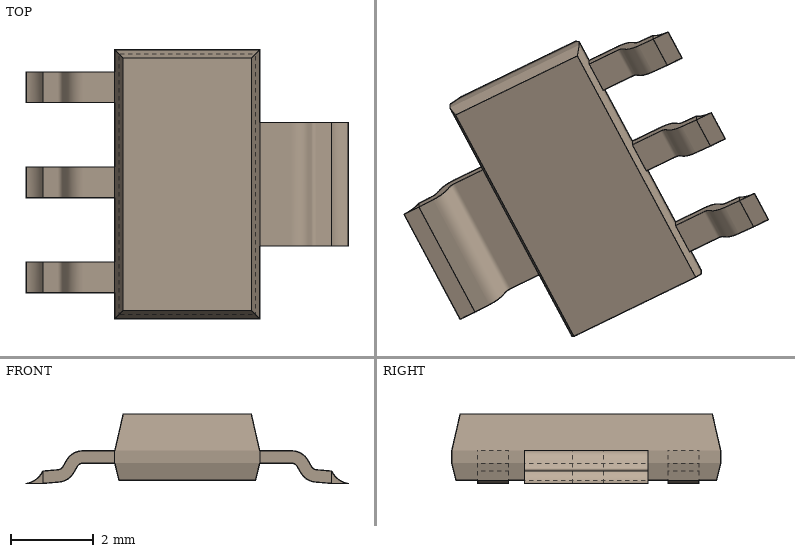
import cadquery as cq
import math

SPAN = 7.78
TOTAL_HEIGHT = 1.68

HOUSING_X = 3.5
HOUSING_Y = 6.5
STANDOFF = 0.08
BAND_BOTTOM = 0.49
TOP_INSET = 0.2
BOTTOM_INSET = 0.1

THICKNESS = 0.3
BAND_TOP = BAND_BOTTOM + THICKNESS
INNER_RADIUS = 0.15
OUTER_RADIUS = INNER_RADIUS + THICKNESS
BEND_ANGLE = math.radians(60)
FOOT_ANGLE = math.radians(5)
BEND_START_X = 2.52

LEAD_COUNT = 3
LEAD_WIDTH = 0.75
LEAD_PITCH = 2.295
LEAD_ROW_Y = 0.05
TAB_WIDTH = 2.99

SOLDER_LENGTH = 0.405
SOLDER_SAG = 0.06
TOE_X = SPAN / 2 - SOLDER_LENGTH
TOE_HEIGHT = THICKNESS / math.cos(FOOT_ANGLE)


def loft_block(z_low, inset_low, z_high, inset_high):
    """Rectangular block whose outline is inset differently at its two ends."""
    return (
        cq.Workplane("XY")
        .workplane(offset=z_low)
        .rect(HOUSING_X - 2 * inset_low, HOUSING_Y - 2 * inset_low)
        .workplane(offset=z_high - z_low)
        .rect(HOUSING_X - 2 * inset_high, HOUSING_Y - 2 * inset_high)
        .loft(ruled=True)
    )


def make_housing():
    lower = loft_block(STANDOFF, BOTTOM_INSET, BAND_BOTTOM, 0)
    band = loft_block(BAND_BOTTOM, 0, BAND_TOP, 0)
    upper = loft_block(BAND_TOP, 0, TOTAL_HEIGHT, TOP_INSET)
    return lower.union(band).union(upper)


def around(center, radius, angle):
    """Point on a circle, with the angle measured from +Z towards +X."""
    x, z = center
    return (x + radius * math.sin(angle), z + radius * math.cos(angle))


def extrude_along_y(profile, y_center, width):
    return profile.extrude(width / 2, both=True).translate((0, y_center, 0))


def make_strip(y_center, width):
    """Gull-wing strip running in +X from the housing wall down to its toe."""
    shoulder = (BEND_START_X, BAND_TOP - OUTER_RADIUS)

    across = OUTER_RADIUS + INNER_RADIUS
    sin_bend = math.sin(BEND_ANGLE)
    cos_bend = math.cos(BEND_ANGLE)
    tan_foot = math.tan(FOOT_ANGLE)
    ankle_x_without_shank = shoulder[0] + across * sin_bend
    ankle_z_without_shank = shoulder[1] + across * cos_bend
    foot_rise = (TOE_X - ankle_x_without_shank) * tan_foot
    drop = ankle_z_without_shank - OUTER_RADIUS / math.cos(FOOT_ANGLE) - foot_rise
    shank = drop / (sin_bend - cos_bend * tan_foot)
    ankle = (ankle_x_without_shank + shank * cos_bend, ankle_z_without_shank - shank * sin_bend)

    shoulder_mid = BEND_ANGLE / 2
    shank_side = math.pi + BEND_ANGLE
    foot_side = math.pi + FOOT_ANGLE
    ankle_mid = (shank_side + foot_side) / 2

    profile = (
        cq.Workplane("XZ")
        .moveTo(HOUSING_X / 2, BAND_TOP)
        .lineTo(BEND_START_X, BAND_TOP)
        .threePointArc(
            around(shoulder, OUTER_RADIUS, shoulder_mid),
            around(shoulder, OUTER_RADIUS, BEND_ANGLE),
        )
        .lineTo(*around(ankle, INNER_RADIUS, shank_side))
        .threePointArc(
            around(ankle, INNER_RADIUS, ankle_mid),
            around(ankle, INNER_RADIUS, foot_side),
        )
        .lineTo(TOE_X, TOE_HEIGHT)
        .lineTo(TOE_X, 0)
        .lineTo(*around(ankle, OUTER_RADIUS, foot_side))
        .threePointArc(
            around(ankle, OUTER_RADIUS, ankle_mid),
            around(ankle, OUTER_RADIUS, shank_side),
        )
        .lineTo(*around(shoulder, INNER_RADIUS, BEND_ANGLE))
        .threePointArc(
            around(shoulder, INNER_RADIUS, shoulder_mid),
            around(shoulder, INNER_RADIUS, 0),
        )
        .lineTo(HOUSING_X / 2, BAND_BOTTOM)
        .close()
    )
    return extrude_along_y(profile, y_center, width)


def make_solder_fillet(y_center, width):
    """Concave wedge of solder in front of a toe on the +X side."""
    profile = (
        cq.Workplane("XZ")
        .moveTo(TOE_X, 0)
        .lineTo(TOE_X, TOE_HEIGHT)
        .sagittaArc((SPAN / 2, 0), -SOLDER_SAG)
        .close()
    )
    return extrude_along_y(profile, y_center, width)


housing = make_housing()
tab = make_strip(0, TAB_WIDTH)
tab_solder = make_solder_fillet(0, TAB_WIDTH)

leads = []
lead_solders = []
for index in range(LEAD_COUNT):
    lead_y = LEAD_ROW_Y + (index - (LEAD_COUNT - 1) / 2) * LEAD_PITCH
    leads.append(make_strip(lead_y, LEAD_WIDTH).mirror("YZ").val())
    lead_solders.append(make_solder_fillet(lead_y, LEAD_WIDTH).mirror("YZ").val())

result = cq.Compound.makeCompound(
    [housing.val(), tab.val(), tab_solder.val(), *leads, *lead_solders]
)